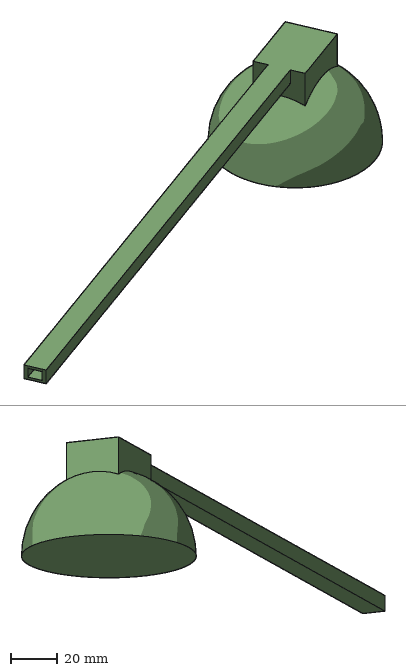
import cadquery as cq

total_length = 320.5
total_height = 48.0
dome_diameter = 76.0

block_width = 24.7
block_length = 35.0

arm_width = 10.5
arm_height = 7.0
side_wall = 2.0
top_wall = 1.3

dome_radius = dome_diameter / 2
block_front = -block_length / 2
arm_tip = dome_radius - total_length
arm_length = block_front - arm_tip
arm_middle_height = total_height - arm_height / 2


def make_dome():
    """Solid hemisphere, flat side down."""
    profile = (
        cq.Workplane("XZ")
        .lineTo(dome_radius, 0)
        .radiusArc((0, dome_radius), -dome_radius)
        .close()
    )
    return profile.revolve(360, (0, 0, 0), (0, 1, 0))


def make_block():
    """Rectangular block whose lower end is buried in the dome."""
    return (
        cq.Workplane("XY")
        .workplane(offset=dome_radius / 2)
        .rect(block_width, block_length)
        .extrude(total_height - dome_radius / 2)
    )


def make_arm():
    """Rectangular tube running from the front of the block to the tip."""
    bore_width = arm_width - 2 * side_wall
    bore_height = arm_height - 2 * top_wall
    return (
        cq.Workplane("XZ", origin=(0, block_front, arm_middle_height))
        .rect(arm_width, arm_height)
        .rect(bore_width, bore_height)
        .extrude(arm_length)
    )


result = make_dome().union(make_block()).union(make_arm())